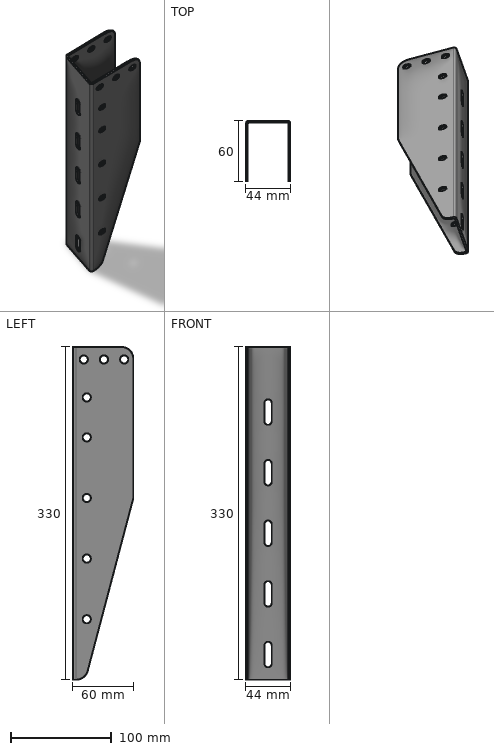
import cadquery as cq

height = 330.0
width = 44.0
depth = 60.0
thickness = 2.0
inner_bend_radius = 1.0
outer_bend_radius = inner_bend_radius + thickness

taper_start_height = 180.0
foot_depth = 12.5
flange_corner_radius = 12.0

slot_length = 25.0
slot_width = 7.0
slot_pitch = 60.0
slot_count = 5
lowest_slot_height = 25.0

hole_diameter = 8.0
top_row_pitch = slot_pitch / 3
top_row_height = height - 12.5
top_row_first_offset = 11.0
top_row_count = 3
column_offset = 14.0
lowest_column_hole_height = slot_pitch
regular_column_count = 4
highest_column_hole_height = 280.0


def bent_channel():
    """U-shaped sheet with rounded bends, standing on Z = 0 with its back at Y = 0."""
    outer = (
        cq.Workplane("XY")
        .box(width, depth, height, centered=(True, False, False))
        .translate((0, -depth, 0))
        .edges("|Z and >Y")
        .fillet(outer_bend_radius)
    )
    inner = (
        cq.Workplane("XY")
        .box(width - 2 * thickness, depth, height, centered=(True, False, False))
        .translate((0, -depth - thickness, 0))
        .edges("|Z and >Y")
        .fillet(inner_bend_radius)
    )
    return outer.cut(inner)


def flange_envelope():
    """Side outline across the full width: tapered toward the foot, rounded at both free corners."""
    outline = [
        (0, 0),
        (-foot_depth, 0),
        (-depth, taper_start_height),
        (-depth, height),
        (0, height),
    ]
    envelope = cq.Workplane("YZ").polyline(outline).close().extrude(width / 2, both=True)
    top_corner = cq.selectors.NearestToPointSelector((0, -depth, height))
    foot_corner = cq.selectors.NearestToPointSelector((0, -foot_depth, 0))
    for corner in (top_corner, foot_corner):
        envelope = envelope.edges("|X").edges(corner).fillet(flange_corner_radius)
    return envelope


def flange_holes():
    """Cylinders for the top row and for the column beside the web."""
    top_row = [(-top_row_first_offset - i * top_row_pitch, top_row_height) for i in range(top_row_count)]
    column_heights = [lowest_column_hole_height + i * slot_pitch for i in range(regular_column_count)]
    column_heights.append(highest_column_hole_height)
    column = [(-column_offset, hole_height) for hole_height in column_heights]
    return (
        cq.Workplane("YZ")
        .pushPoints(top_row + column)
        .circle(hole_diameter / 2)
        .extrude(width, both=True)
    )


def web_slots():
    """Evenly spaced slot cutters passing through the web."""
    centers = [(0, lowest_slot_height + i * slot_pitch) for i in range(slot_count)]
    return (
        cq.Workplane("XZ")
        .pushPoints(centers)
        .slot2D(slot_length, slot_width, 90)
        .extrude(2 * thickness, both=True)
    )


result = bent_channel().intersect(flange_envelope()).cut(flange_holes()).cut(web_slots())